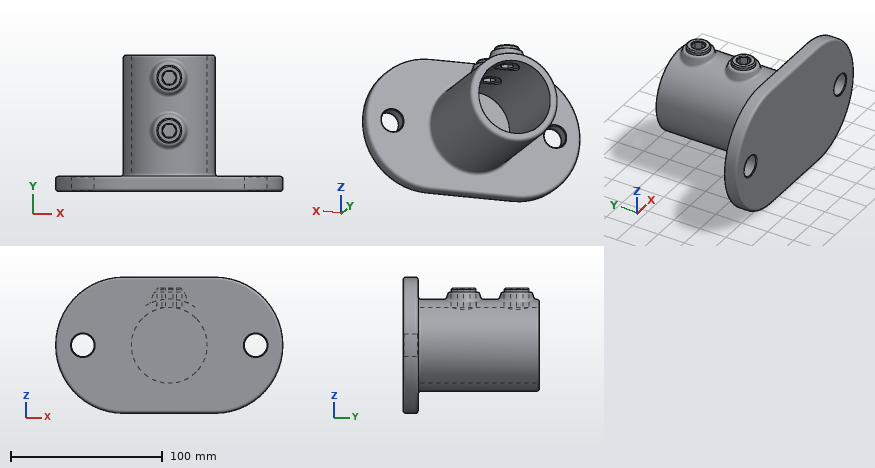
import cadquery as cq
import math

flange_length = 150.0
flange_height = 90.0
flange_thickness = 10.0
flange_rounding = 2.0
mount_hole_diameter = 15.0
mount_hole_spacing = 114.0
mount_hole_chamfer = 0.6

total_depth = 90.0
socket_radius = 30.5
bore_radius = 25.0
rim_rounding = 2.0
root_rounding = 2.0

boss_positions = [40.0, 75.0]
boss_top = 35.1
boss_top_radius = 10.2
boss_rounding = 2.0
boss_foot_height = 27.5
boss_foot_radius = 12.6
boss_root_rounding = 1.8

margin = 1.5
selection_gap = 0.2

screw_radius = 8.2
screw_top = 37.8
screw_chamfer = 0.9
screw_bottom = bore_radius
screw_length = screw_top - screw_bottom
hex_across_flats = 8.2
hex_across_corners = hex_across_flats / math.cos(math.pi / 6)
hex_countersink_radius = 5.0
hex_countersink_depth = 0.6


def along_y(radius, start, end):
    """Cylinder on the Y axis between two Y positions."""
    return cq.Workplane("XZ", origin=(0, start, 0)).circle(radius).extrude(start - end)


def along_z(y, bottom):
    """Horizontal workplane centred on a set-screw axis."""
    return cq.Workplane("XY", origin=(0, y, bottom))


def make_flange():
    return (
        cq.Workplane("XZ")
        .slot2D(flange_length, flange_height)
        .extrude(-flange_thickness)
        .faces("<Y or >Y")
        .edges()
        .fillet(flange_rounding)
    )


def make_socket():
    socket = along_y(socket_radius, 0, total_depth)
    return socket.faces(">Y").edges().fillet(rim_rounding)


def make_boss(y):
    """Tapered boss with a rounded top, reaching down into the socket wall."""
    slope = (boss_foot_radius - boss_top_radius) / (boss_top - boss_foot_height)
    inner_radius = boss_top_radius + slope * (boss_top - bore_radius)
    boss = (
        along_z(y, bore_radius)
        .circle(inner_radius)
        .workplane(offset=boss_top - bore_radius)
        .circle(boss_top_radius)
        .loft()
    )
    return boss.faces(">Z").edges().fillet(boss_rounding)


def joint_selector(lower, upper):
    """Pick the edges that lie wholly between two opposite corners."""
    return cq.selectors.BoxSelector(lower, upper, boundingbox=True)


def round_joints(body):
    """Fillet the socket root and the foot of each boss."""
    reach = socket_radius + margin
    flange_joint = joint_selector(
        (-reach, flange_thickness - selection_gap, -reach),
        (reach, flange_thickness + selection_gap, reach),
    )
    body = body.edges(flange_joint).fillet(root_rounding)
    foot_reach = boss_foot_radius + margin
    for y in boss_positions:
        boss_joint = joint_selector(
            (-foot_reach, y - foot_reach, bore_radius + selection_gap),
            (foot_reach, y + foot_reach, socket_radius + selection_gap),
        )
        body = body.edges(boss_joint).fillet(boss_root_rounding)
    return body


def cut_mount_holes(body):
    """Through holes, chamfered at both faces of the flange."""
    radius = mount_hole_diameter / 2
    mouth_radius = radius + mount_hole_chamfer
    back_chamfer = flange_thickness - mount_hole_chamfer
    profile = [
        (0, 0),
        (mouth_radius, 0),
        (radius, mount_hole_chamfer),
        (radius, back_chamfer),
        (mouth_radius, flange_thickness),
        (0, flange_thickness),
    ]
    cutter = cq.Workplane("XY").polyline(profile).close().revolve(360, (0, 0, 0), (0, 1, 0))
    for side in (-1, 1):
        body = body.cut(cutter.translate((side * mount_hole_spacing / 2, 0, 0)))
    return body


def make_housing():
    body = make_flange().union(make_socket())
    for y in boss_positions:
        body = body.union(make_boss(y))
    body = round_joints(body)
    body = body.cut(along_y(bore_radius, flange_thickness, total_depth))
    for y in boss_positions:
        body = body.cut(along_z(y, 0).circle(screw_radius).extrude(boss_top))
    return cut_mount_holes(body)


def make_screw(y):
    """Set screw with a hexagonal drive opening through its full length."""
    screw = along_z(y, screw_bottom).circle(screw_radius).extrude(screw_length)
    screw = screw.faces(">Z").edges().chamfer(screw_chamfer)
    drive = along_z(y, screw_bottom).polygon(6, hex_across_corners).extrude(screw_length)
    countersink = (
        along_z(y, screw_top - hex_countersink_depth)
        .circle(hex_countersink_radius - hex_countersink_depth)
        .workplane(offset=hex_countersink_depth)
        .circle(hex_countersink_radius)
        .loft()
    )
    return screw.cut(drive).cut(countersink)


housing = make_housing()
screws = [make_screw(y) for y in boss_positions]

result = cq.Compound.makeCompound([housing.val(), *[screw.val() for screw in screws]])